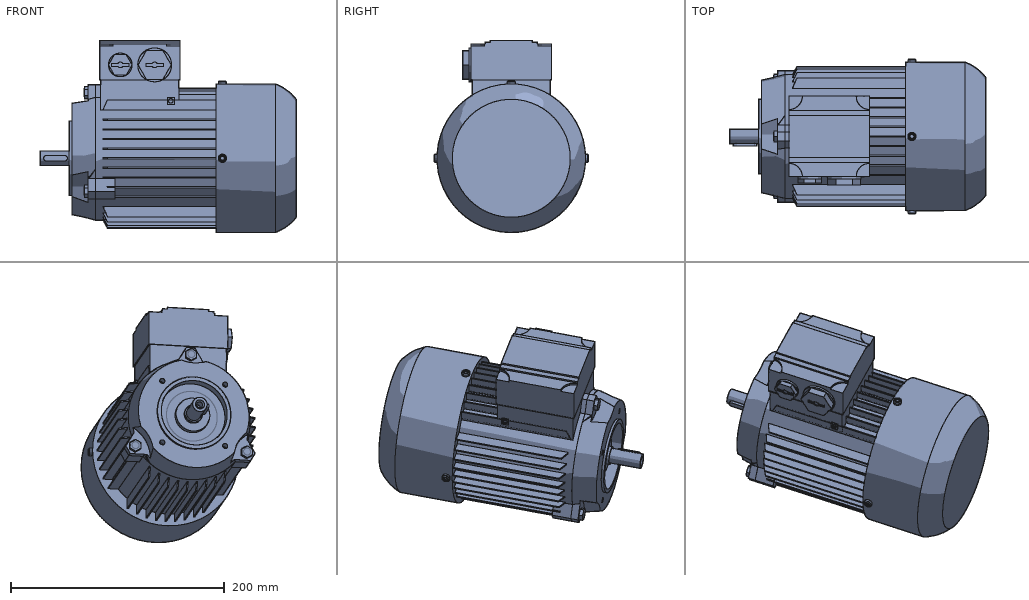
import cadquery as cq
import math


spigot_face_x = 27.4
flange_face_x = 29.8
lug_face_x = 45.0
parting_x = 52.0
cover_front_x = 165.0
cover_taper_x = 220.5
motor_end_x = 240.0

shaft_radius = 7.0
collar_radius = 8.5
centre_hole_radius = 3.0
centre_hole_mouth_radius = 4.3
centre_hole_depth = 12.0
key_start_x = 3.4
key_length = 22.3
key_width = 5.0
key_top = 9.0
key_bottom = 4.0

flange_radius = 52.8
frame_radius = 58.0
spigot_radius = 35.0
recess_radius = 31.5
recess_wall_end_x = 38.5
recess_floor_radius = 24.2
recess_floor_x = 39.0
hub_radius = 16.0
hub_face_x = 33.5
flange_hole_offset = 30.0
flange_hole_radius = 2.5
flange_hole_depth = 9.5

lug_angles = (0, 120, 240)
lug_tip_radius = 69.0
lug_tip_half_width = 4.0
lug_root_radius = 48.0
lug_flank_angle = 30.0
lug_flare_half_width = 20.0
frame_lug_end_x = 70.3
pocket_radius = 33.5
pocket_axis_radius = 83.0
bolt_circle_radius = 61.5
bolt_across_flats = 10.0
bolt_head_height = 3.8
bolt_flat_radius = 3.4
bolt_cone_height = 0.5

fin_tip_radius = 65.5
fins_each_side = 4
outer_fin_offset = 36.0
fin_pitch = outer_fin_offset / fins_each_side
fin_thickness = 1.2
fin_root_x = 59.0
fin_tip_x = 63.0
fin_root_depth = 2.5

cover_radius = 69.5
cover_end_radius = 55.2
cover_bulge = 1.7
screw_x = 170.6
screw_head_radius = 3.8
screw_top = 72.5
screw_chamfer = 1.0
screw_socket_radius = 2.0
screw_socket_depth = 1.5
screw_angles = (-90, 0, 90)

box_front_x = 55.7
base_length = 73.2
base_half_width = outer_fin_offset + fin_thickness / 2
box_side = 75.4
box_x = box_front_x + box_side / 2
box_bottom = 73.5
box_shoulder = 107.0
box_step = 108.7
box_top = 110.5
step_half_width = 24.5
top_half_width = 19.7
corner_pocket_radius = 12.5
corner_pocket_depth = 2.0
earth_x = 122.5
earth_z = 53.8
earth_side = 6.5
earth_height = 1.5
earth_hole_radius = 2.2

small_plug = (75.0, 11.0, 19.2, 4.0)
large_plug = (107.3, 15.8, 27.0, 6.0)
plug_z = 87.4
plug_collar_height = 2.0
plug_slot_length = 16.5
plug_slot_width = 2.6
plug_slot_depth = 1.2
plug_dimple_radius = 2.6


def x_cylinder(radius, start_x, end_x, y=0, z=0):
    return cq.Workplane("YZ", origin=(start_x, y, z)).circle(radius).extrude(end_x - start_x)


def x_revolve(points):
    """Solid of revolution about the X axis from (x, radius) points."""
    return cq.Workplane("XY").polyline(points).close().revolve(360, (0, 0, 0), (1, 0, 0))


def about_axis(shape, angle):
    return shape.rotate((0, 0, 0), (1, 0, 0), angle)


def hexagon_diameter(across_flats):
    return across_flats / math.cos(math.radians(30))


def lug(start_x, end_x):
    """Lug at the top, narrowing outwards to a flat tip."""
    spread = (lug_tip_radius - lug_root_radius) * math.tan(math.radians(lug_flank_angle))
    root_half_width = lug_tip_half_width + spread
    outline = [
        (-root_half_width, lug_root_radius),
        (-lug_tip_half_width, lug_tip_radius),
        (lug_tip_half_width, lug_tip_radius),
        (root_half_width, lug_root_radius),
    ]
    return cq.Workplane("YZ", origin=(start_x, 0, 0)).polyline(outline).close().extrude(end_x - start_x)


def lug_flare():
    """Widening of one side of the lug root towards the parting face, flush with the frame."""
    spread = (lug_tip_radius - frame_radius) * math.tan(math.radians(lug_flank_angle))
    front_half_width = lug_tip_half_width + spread
    outline = [
        (lug_face_x, 0),
        (lug_face_x, front_half_width),
        (parting_x, lug_flare_half_width),
        (parting_x, 0),
    ]
    wedge = (
        cq.Workplane("XY", origin=(0, 0, lug_root_radius))
        .polyline(outline)
        .close()
        .extrude(frame_radius - lug_root_radius)
    )
    return wedge.intersect(x_cylinder(frame_radius, lug_face_x, parting_x))


def bolt_head():
    """Hexagonal head whose outer face is coned around a flat centre."""
    start_x = lug_face_x - bolt_head_height
    corner_diameter = hexagon_diameter(bolt_across_flats)
    head = (
        cq.Workplane("YZ", origin=(start_x, 0, bolt_circle_radius))
        .transformed(rotate=(0, 0, 90))
        .polygon(6, corner_diameter)
        .extrude(bolt_head_height)
    )
    coned_blank = x_revolve([
        (start_x, 0),
        (start_x, bolt_flat_radius),
        (start_x + bolt_cone_height, corner_diameter / 2),
        (lug_face_x, corner_diameter / 2),
        (lug_face_x, 0),
    ])
    return head.intersect(coned_blank.translate((0, 0, bolt_circle_radius)))


def make_key():
    return (
        cq.Workplane("XZ", origin=(key_start_x + key_length / 2, -key_bottom, 0))
        .slot2D(key_length, key_width)
        .extrude(key_top - key_bottom)
    )


def make_shaft(key):
    shaft = x_cylinder(shaft_radius, 0, flange_face_x)
    shaft = shaft.union(x_cylinder(collar_radius, flange_face_x, parting_x))
    countersink_depth = centre_hole_mouth_radius - centre_hole_radius
    centre_hole = x_revolve([
        (0, 0),
        (0, centre_hole_mouth_radius),
        (countersink_depth, centre_hole_radius),
        (centre_hole_depth, centre_hole_radius),
        (centre_hole_depth, 0),
    ])
    return shaft.cut(centre_hole).cut(key)


def make_end_shield():
    shield = x_revolve([
        (hub_face_x, collar_radius),
        (hub_face_x, hub_radius),
        (recess_floor_x, hub_radius),
        (recess_floor_x, recess_floor_radius),
        (recess_wall_end_x, recess_radius),
        (spigot_face_x, recess_radius),
        (spigot_face_x, spigot_radius),
        (flange_face_x, spigot_radius),
        (flange_face_x, flange_radius),
        (parting_x, frame_radius),
        (parting_x, collar_radius),
    ])
    flange_holes = (
        cq.Workplane("YZ", origin=(flange_face_x, 0, 0))
        .rect(2 * flange_hole_offset, 2 * flange_hole_offset, forConstruction=True)
        .vertices()
        .circle(flange_hole_radius)
        .extrude(flange_hole_depth)
    )
    shield = shield.cut(flange_holes)
    pocket = x_cylinder(pocket_radius, flange_face_x, lug_face_x, z=pocket_axis_radius)
    lug_with_bolt = lug(lug_face_x, parting_x).union(lug_flare()).union(bolt_head())
    for angle in lug_angles:
        shield = shield.cut(about_axis(pocket, angle))
        shield = shield.union(about_axis(lug_with_bolt, angle))
    return shield


def fin(offset, under_box):
    """Upright fin on the top of the frame, at the given Y offset."""
    root_z = math.sqrt(frame_radius**2 - offset**2)
    tip_z = math.sqrt(fin_tip_radius**2 - offset**2)
    inner_z = root_z - fin_root_depth
    rear_of_box_x = box_x + base_length / 2
    start_root_x = rear_of_box_x if under_box else fin_root_x
    start_tip_x = rear_of_box_x if under_box else fin_tip_x
    outline = [
        (start_root_x, inner_z),
        (start_root_x, root_z),
        (start_tip_x, tip_z),
        (cover_front_x, tip_z),
        (cover_front_x, inner_z),
    ]
    return (
        cq.Workplane("XZ", origin=(0, offset + fin_thickness / 2, 0))
        .polyline(outline)
        .close()
        .extrude(fin_thickness)
    )


def make_frame():
    frame = x_cylinder(frame_radius, parting_x, cover_front_x)
    for angle in lug_angles:
        on_top = angle == 0
        end_x = box_x - base_length / 2 if on_top else frame_lug_end_x
        frame = frame.union(about_axis(lug(parting_x, end_x), angle))
    for quarter in range(4):
        for place in range(-fins_each_side, fins_each_side + 1):
            under_box = quarter == 0 and abs(place) < fins_each_side
            frame = frame.union(about_axis(fin(place * fin_pitch, under_box), 90 * quarter))
    return frame


def cover_screw():
    """Chamfered screw head on the top of the cover, with its socket."""
    return (
        cq.Workplane("XY", origin=(screw_x, 0, cover_end_radius))
        .circle(screw_head_radius)
        .extrude(screw_top - cover_end_radius)
        .faces(">Z")
        .chamfer(screw_chamfer)
        .faces(">Z")
        .workplane()
        .circle(screw_socket_radius)
        .cutBlind(-screw_socket_depth)
    )


def make_fan_cover():
    taper_length = motor_end_x - cover_taper_x
    taper_drop = cover_radius - cover_end_radius
    chord = math.hypot(taper_length, taper_drop)
    arc_middle = (
        (cover_taper_x + motor_end_x) / 2 + cover_bulge * taper_drop / chord,
        (cover_radius + cover_end_radius) / 2 + cover_bulge * taper_length / chord,
    )
    cover = (
        cq.Workplane("XY")
        .moveTo(cover_front_x, 0)
        .lineTo(cover_front_x, cover_radius)
        .lineTo(cover_taper_x, cover_radius)
        .threePointArc(arc_middle, (motor_end_x, cover_end_radius))
        .lineTo(motor_end_x, 0)
        .close()
        .revolve(360, (0, 0, 0), (1, 0, 0))
    )
    for angle in screw_angles:
        cover = cover.union(about_axis(cover_screw(), angle))
    return cover


def earth_terminal():
    return (
        cq.Workplane("XZ", origin=(earth_x, -base_half_width, earth_z))
        .rect(earth_side, earth_side)
        .circle(earth_hole_radius)
        .extrude(earth_height)
    )


def make_box_base(frame):
    base = cq.Workplane("XY").box(
        base_length, 2 * base_half_width, box_bottom, centered=(True, True, False)
    ).translate((box_x, 0, 0))
    base = base.cut(frame)
    terminal = earth_terminal()
    return base.union(terminal).union(terminal.mirror("XZ"))


def cable_plug(centre_x, plug_collar_radius, across_flats, hexagon_height):
    side = cq.Workplane("XZ", origin=(centre_x, -box_side / 2, plug_z))
    collar = side.circle(plug_collar_radius).extrude(plug_collar_height)
    hexagon = (
        side.workplane(offset=plug_collar_height)
        .polygon(6, hexagon_diameter(across_flats))
        .extrude(hexagon_height)
        .faces("<Y")
        .workplane()
        .rect(plug_slot_length, plug_slot_width)
        .cutBlind(-plug_slot_depth)
        .faces("<Y")
        .workplane()
        .circle(plug_dimple_radius)
        .cutBlind(-plug_slot_depth)
    )
    return collar.union(hexagon)


def make_box():
    half_side = box_side / 2
    profile = [
        (-half_side, box_bottom),
        (-half_side, box_shoulder),
        (-step_half_width, box_shoulder),
        (-step_half_width, box_step),
        (-top_half_width, box_step),
        (-top_half_width, box_top),
        (top_half_width, box_top),
        (top_half_width, box_step),
        (step_half_width, box_step),
        (step_half_width, box_shoulder),
        (half_side, box_shoulder),
        (half_side, box_bottom),
    ]
    box = (
        cq.Workplane("YZ", origin=(box_front_x, 0, 0))
        .polyline(profile)
        .close()
        .extrude(box_side)
    )
    corner_pockets = (
        cq.Workplane("XY", origin=(box_x, 0, box_shoulder - corner_pocket_depth))
        .rect(box_side, box_side, forConstruction=True)
        .vertices()
        .circle(corner_pocket_radius)
        .extrude(corner_pocket_depth)
    )
    box = box.cut(corner_pockets)
    for plug in (small_plug, large_plug):
        box = box.union(cable_plug(*plug))
    return box


key = make_key()
shaft = make_shaft(key)
end_shield = make_end_shield()
frame = make_frame()
fan_cover = make_fan_cover()
box_base = make_box_base(frame)
terminal_box = make_box()

result = cq.Compound.makeCompound([
    key.solids().val(),
    shaft.solids().val(),
    end_shield.solids().val(),
    frame.solids().val(),
    fan_cover.solids().val(),
    box_base.solids().val(),
    terminal_box.solids().val(),
])